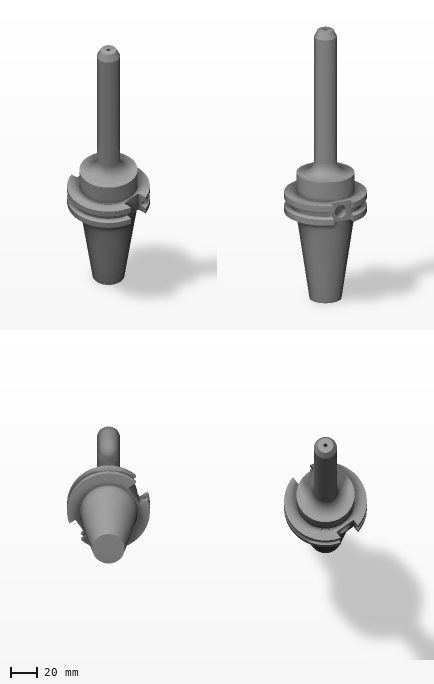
import cadquery as cq
import math

total_height = 220.6
taper_height = 68.2
flange_bottom = 71.5
flange_top = 87.4
body_top = 103.3
tip_cone_height = 5.5

gauge_radius = 22.3
taper_ratio = 7 / 24
taper_end_radius = gauge_radius - taper_height * taper_ratio / 2
flange_radius = 31.8
shank_radius = 8.8
shank_fillet = 10.0
tip_radius = 6.0
collar_radius = 23.0
collar_height = 0.5

groove_center = (flange_bottom + flange_top) / 2
groove_floor_radius = 28.0
groove_floor_width = 4.2
groove_mouth_width = 6.5

slot_width = 16.5
left_slot_floor = 25.0
right_slot_floor = 23.2

side_hole_diameter = 10.1
side_hole_depth = 6.6
bore_diameter = 3.3
bore_depth = 6.6


def make_turned_body():
    """Revolve the taper, flange, body and slender shank around Z."""
    fillet_top = body_top + shank_fillet
    fillet_center_radius = shank_radius + shank_fillet
    fillet_offset = shank_fillet * math.sqrt(0.5)
    fillet_middle = (fillet_center_radius - fillet_offset, fillet_top - fillet_offset)
    return (
        cq.Workplane("XZ")
        .lineTo(taper_end_radius, 0)
        .lineTo(gauge_radius, taper_height)
        .lineTo(gauge_radius, flange_bottom)
        .lineTo(flange_radius, flange_bottom)
        .lineTo(flange_radius, groove_center - groove_mouth_width / 2)
        .lineTo(groove_floor_radius, groove_center - groove_floor_width / 2)
        .lineTo(groove_floor_radius, groove_center + groove_floor_width / 2)
        .lineTo(flange_radius, groove_center + groove_mouth_width / 2)
        .lineTo(flange_radius, flange_top)
        .lineTo(collar_radius, flange_top)
        .lineTo(collar_radius, flange_top + collar_height)
        .lineTo(gauge_radius, flange_top + collar_height)
        .lineTo(gauge_radius, body_top)
        .lineTo(fillet_center_radius, body_top)
        .threePointArc(fillet_middle, (shank_radius, fillet_top))
        .lineTo(shank_radius, total_height - tip_cone_height)
        .lineTo(tip_radius, total_height)
        .lineTo(0, total_height)
        .close()
        .revolve(360, (0, 0, 0), (0, 1, 0))
    )


def make_drive_slot(floor_distance, side):
    """Box outside the slot floor; side is -1 for -X and +1 for +X."""
    slot_depth = flange_radius - floor_distance
    slot_center = side * (floor_distance + slot_depth / 2)
    return (
        cq.Workplane("XY", origin=(slot_center, 0, flange_bottom))
        .rect(slot_depth, slot_width)
        .extrude(flange_top - flange_bottom)
    )


def make_side_hole():
    """Blind radial hole in the floor of the -X drive slot."""
    return (
        cq.Workplane("YZ", origin=(-left_slot_floor, 0, groove_center))
        .circle(side_hole_diameter / 2)
        .extrude(side_hole_depth)
    )


def make_center_bore():
    """Blind hole down from the tip of the shank."""
    return (
        cq.Workplane("XY", origin=(0, 0, total_height - bore_depth))
        .circle(bore_diameter / 2)
        .extrude(bore_depth)
    )


result = (
    make_turned_body()
    .cut(make_drive_slot(left_slot_floor, -1))
    .cut(make_drive_slot(right_slot_floor, 1))
    .cut(make_side_hole())
    .cut(make_center_bore())
)